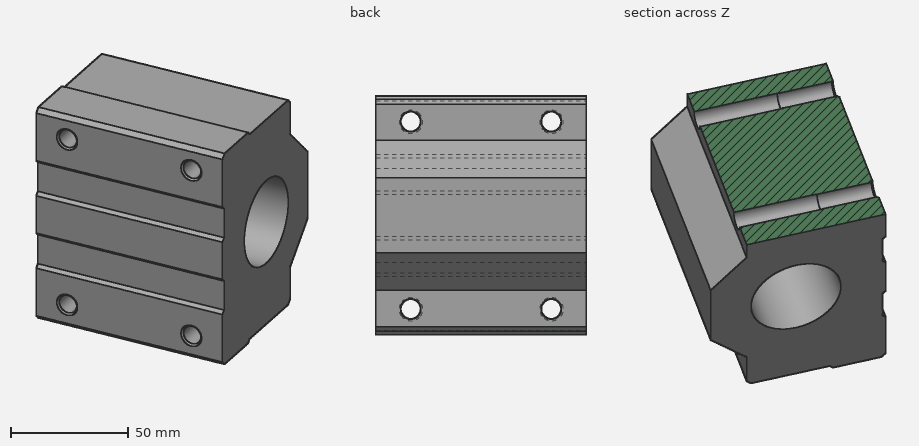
import cadquery as cq

length = 90.0
height = 102.0
front_y = -40.0
back_y = 38.0

shoulder_y = 22.0
back_flat_width = 32.0
flank_run = back_y - shoulder_y
shoulder_chamfer = 2.0

side_step = 1.5
side_land_depth = 23.5
front_chamfer = 2.0

groove_depth = 1.5
center_rib_width = 18.0
groove_outer_span = 52.0

bore_diameter = 40.0

hole_spacing_x = 60.0
hole_spacing_z = 80.0
tap_diameter = 8.38
tap_depth = 25.0
clearance_diameter = 8.7
countersink_diameter = 10.0


def half_profile():
    """Points (y, z) of the upper half of the section, from the mounting face to the back."""
    half_height = height / 2
    rear_half_height = half_height - side_step
    groove_floor_y = front_y + groove_depth
    rib_edge = center_rib_width / 2
    groove_edge = groove_outer_span / 2
    land_end_y = front_y + side_land_depth
    back_edge = back_flat_width / 2
    return [
        (front_y, rib_edge),
        (groove_floor_y, rib_edge + groove_depth),
        (groove_floor_y, groove_edge - groove_depth),
        (front_y, groove_edge),
        (front_y, half_height - front_chamfer),
        (front_y + front_chamfer, half_height),
        (land_end_y, half_height),
        (land_end_y + side_step, rear_half_height),
        (shoulder_y - shoulder_chamfer, rear_half_height),
        (shoulder_y, rear_half_height - shoulder_chamfer),
        (shoulder_y, back_edge + flank_run),
        (back_y, back_edge),
    ]


def make_body():
    """Extrude the symmetric section along X, centred on the origin."""
    upper = half_profile()
    lower = [(y, -z) for y, z in reversed(upper)]
    return cq.Workplane("YZ").polyline(upper + lower).close().extrude(length / 2, both=True)


def make_bore():
    return cq.Workplane("YZ").circle(bore_diameter / 2).extrude(length / 2, both=True)


def make_mounting_hole(x, z):
    """Cutter revolved about a Y axis: countersink, tapped length, then clearance length."""
    tap_radius = tap_diameter / 2
    clearance_radius = clearance_diameter / 2
    countersink_radius = countersink_diameter / 2
    countersink_depth = countersink_radius - tap_radius
    tap_end_y = front_y + tap_depth
    cutter = (
        cq.Workplane("XY")
        .moveTo(0, front_y)
        .lineTo(countersink_radius, front_y)
        .lineTo(tap_radius, front_y + countersink_depth)
        .lineTo(tap_radius, tap_end_y)
        .lineTo(clearance_radius, tap_end_y)
        .lineTo(clearance_radius, shoulder_y)
        .lineTo(0, shoulder_y)
        .close()
        .revolve(360, (0, 0, 0), (0, 1, 0))
    )
    return cutter.translate((x, 0, z))


result = make_body().cut(make_bore())
for x in (-hole_spacing_x / 2, hole_spacing_x / 2):
    for z in (-hole_spacing_z / 2, hole_spacing_z / 2):
        result = result.cut(make_mounting_hole(x, z))